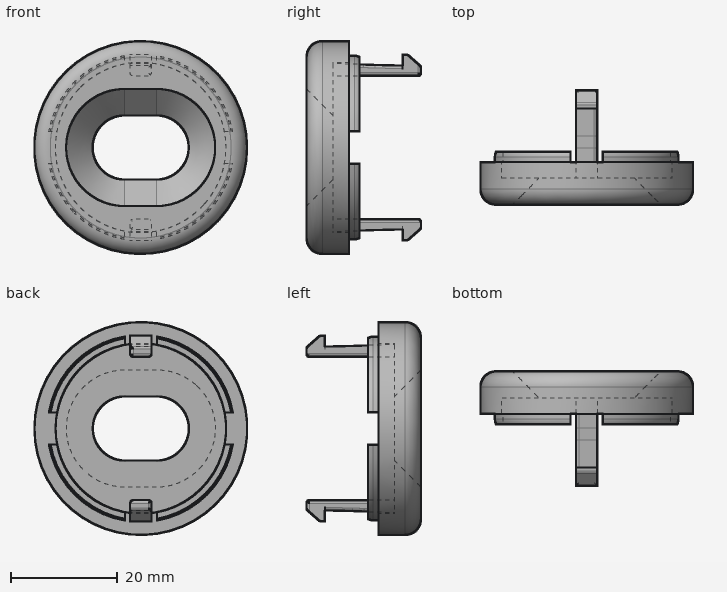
import cadquery as cq

OUTER_RADIUS = 20.0
BODY_DEPTH = 8.0
FRONT_FILLET = 3.0
FLOOR_THICKNESS = 5.0
CAVITY_RADIUS = 16.0

SLOT_STRAIGHT = 6.0
SLOT_FRONT_RADIUS = 11.0
SLOT_BACK_RADIUS = SLOT_FRONT_RADIUS - FLOOR_THICKNESS

RIM_RADIUS = 17.5
RIM_HEIGHT = 2.0
RIM_TOP_Y = BODY_DEPTH + RIM_HEIGHT
RIM_STRAIGHT_HEIGHT = RIM_HEIGHT / 2
RIM_TOP_INSET = 0.3
RIM_MID_INSET = 0.1
RIM_GAP = 6.05

CLIP_WIDTH = 4.0
CLIP_TIP_Y = 21.5
CLIP_INNER_Z = 13.45
CLIP_FILLET = 0.6
HOOK_CATCH_Y = 18.05
HOOK_RIDGE_Y = 19.0
HOOK_TOP_Z = 17.45
HOOK_NOSE_Z = 15.2

SHANK_END_Z = 15.4
SHANK_UPPER_BEND = (12.9, 15.5)
SHANK_LOWER_BEND = (10.7, 15.6)
SHANK_ROOT_Z = 15.8

SELECTION_MARGIN = 0.05


def revolve_about_y(profile):
    return profile.close().revolve(360, (0, 0, 0), (0, 1, 0))


def make_body():
    disc = revolve_about_y(
        cq.Workplane("XY")
        .lineTo(OUTER_RADIUS, 0)
        .lineTo(OUTER_RADIUS, BODY_DEPTH)
        .lineTo(0, BODY_DEPTH)
    )
    return disc.faces("<Y").edges().fillet(FRONT_FILLET)


def make_rim():
    straight_y = BODY_DEPTH + RIM_STRAIGHT_HEIGHT
    rim = revolve_about_y(
        cq.Workplane("XY")
        .moveTo(0, BODY_DEPTH)
        .lineTo(RIM_RADIUS, BODY_DEPTH)
        .lineTo(RIM_RADIUS, straight_y)
        .threePointArc(
            (RIM_RADIUS - RIM_MID_INSET, (straight_y + RIM_TOP_Y) / 2),
            (RIM_RADIUS - RIM_TOP_INSET, RIM_TOP_Y),
        )
        .lineTo(0, RIM_TOP_Y)
    )
    span = 2 * OUTER_RADIUS
    for width, height in ((RIM_GAP, span), (span, RIM_GAP)):
        channel = (
            cq.Workplane("XZ", origin=(0, BODY_DEPTH, 0))
            .rect(width, height)
            .extrude(-RIM_HEIGHT)
        )
        rim = rim.cut(channel)
    return rim


def make_cavity():
    return (
        cq.Workplane("XZ", origin=(0, FLOOR_THICKNESS, 0))
        .circle(CAVITY_RADIUS)
        .extrude(FLOOR_THICKNESS - RIM_TOP_Y)
    )


def make_opening():
    def oblong_size(radius):
        return SLOT_STRAIGHT + 2 * radius, 2 * radius

    return (
        cq.Workplane("XZ")
        .slot2D(*oblong_size(SLOT_FRONT_RADIUS))
        .workplane(offset=-FLOOR_THICKNESS)
        .slot2D(*oblong_size(SLOT_BACK_RADIUS))
        .loft(ruled=True)
    )


def fillet_between(solid, low, high, direction):
    """Round the edges lying wholly inside the box low..high and matching direction."""
    low = tuple(value - SELECTION_MARGIN for value in low)
    high = tuple(value + SELECTION_MARGIN for value in high)
    box = cq.selectors.BoxSelector(low, high, boundingbox=True)
    return solid.edges(box).edges(direction).fillet(CLIP_FILLET)


def make_clip():
    side_x = CLIP_WIDTH / 2
    clip = (
        cq.Workplane("YZ")
        .moveTo(FLOOR_THICKNESS, CLIP_INNER_Z)
        .lineTo(CLIP_TIP_Y, CLIP_INNER_Z)
        .lineTo(CLIP_TIP_Y, HOOK_NOSE_Z)
        .lineTo(HOOK_RIDGE_Y, HOOK_TOP_Z)
        .lineTo(HOOK_CATCH_Y, HOOK_TOP_Z)
        .lineTo(HOOK_CATCH_Y, SHANK_END_Z)
        .lineTo(*SHANK_UPPER_BEND)
        .lineTo(*SHANK_LOWER_BEND)
        .lineTo(FLOOR_THICKNESS, SHANK_ROOT_Z)
        .close()
        .extrude(side_x, both=True)
    )

    clip = fillet_between(
        clip,
        (side_x, FLOOR_THICKNESS, SHANK_END_Z),
        (side_x, HOOK_CATCH_Y, SHANK_ROOT_Z),
        "not |Z",
    )
    clip = fillet_between(
        clip,
        (-side_x, HOOK_RIDGE_Y, HOOK_NOSE_Z),
        (side_x, CLIP_TIP_Y, HOOK_TOP_Z),
        "|X",
    )
    clip = clip.faces("<Z").edges("not <Y").fillet(CLIP_FILLET)

    plan = (
        cq.Workplane("XY")
        .moveTo(-side_x, FLOOR_THICKNESS)
        .lineTo(side_x, FLOOR_THICKNESS)
        .lineTo(side_x, CLIP_TIP_Y - CLIP_FILLET)
        .radiusArc((side_x - CLIP_FILLET, CLIP_TIP_Y), -CLIP_FILLET)
        .lineTo(-side_x, CLIP_TIP_Y)
        .close()
        .extrude(OUTER_RADIUS)
    )
    return clip.intersect(plan)


result = make_body().union(make_rim()).cut(make_cavity()).cut(make_opening())

top_clip = make_clip()
for angle in (0, 180):
    result = result.union(top_clip.rotate((0, 0, 0), (0, 1, 0), angle))